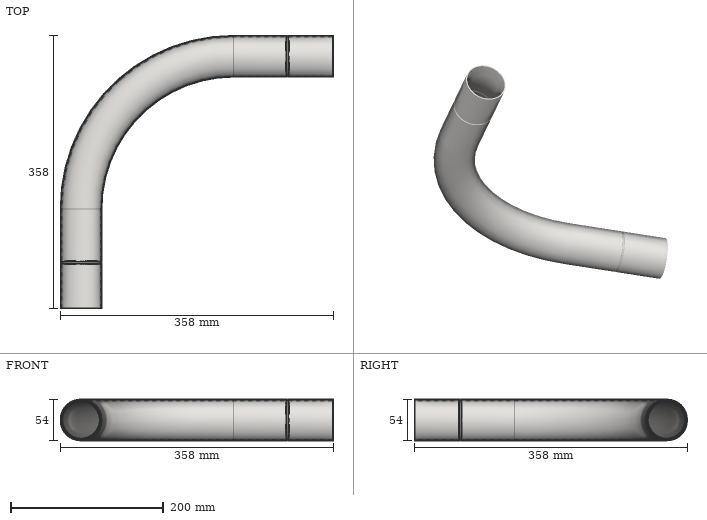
import cadquery as cq
import math


outer_diameter = 54.0
inner_diameter = 51.0
outer_radius = outer_diameter / 2
inner_radius = inner_diameter / 2
wall = outer_radius - inner_radius

overall_size = 358.0
bend_radius = 200.0
bend_angle = 90.0
leg_length = overall_size - outer_radius - bend_radius

mark_from_end = 60.0
mark_depth = 1.0
groove_arc_radius = 1.5
bead_arc_radius = groove_arc_radius + wall
mark_position = leg_length - mark_from_end


def half_chord(arc_radius):
    """Half the width of a mark arc where it leaves the straight tube wall."""
    return math.sqrt(arc_radius**2 - (arc_radius - mark_depth) ** 2)


def tube_leg():
    """Straight marked tube along +Z, revolved from its wall profile."""
    groove_half = half_chord(groove_arc_radius)
    bead_half = half_chord(bead_arc_radius)
    profile = (
        cq.Workplane("XZ")
        .moveTo(inner_radius, 0)
        .lineTo(outer_radius, 0)
        .lineTo(outer_radius, mark_position - groove_half)
        .threePointArc(
            (outer_radius - mark_depth, mark_position),
            (outer_radius, mark_position + groove_half),
        )
        .lineTo(outer_radius, leg_length)
        .lineTo(inner_radius, leg_length)
        .lineTo(inner_radius, mark_position + bead_half)
        .threePointArc(
            (inner_radius - mark_depth, mark_position),
            (inner_radius, mark_position - bead_half),
        )
        .close()
    )
    return profile.revolve(360, (0, 0), (0, 1))


def tube_bend():
    """Quarter-circle tube about the Z axis, from the -X side to the +Y side."""
    section = cq.Workplane("XZ", origin=(-bend_radius, 0, 0)).circle(outer_radius).circle(inner_radius)
    axis_start = (bend_radius, 0)
    axis_end = (bend_radius, -1)
    return section.revolve(bend_angle, axis_start, axis_end)


leg = tube_leg()
y_leg = leg.rotate((0, 0, 0), (1, 0, 0), 90).translate((-bend_radius, 0, 0))
x_leg = leg.rotate((0, 0, 0), (0, 1, 0), 90).translate((0, bend_radius, 0))

result = tube_bend().union(y_leg).union(x_leg)